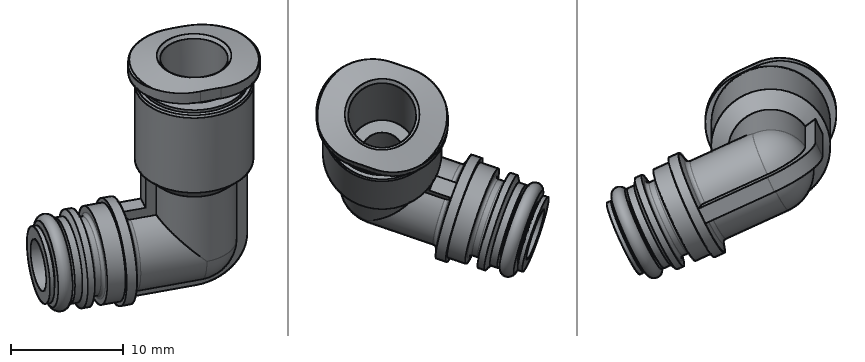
import cadquery as cq
import math


overall_height = 24.68
flange_radius = 9.75 / 2

tube_radius = 3.8
rib_thickness = 1.48
rib_reach = 4.71
rib_top = 8.15

sleeve_radius = 10.55 / 2
sleeve_cone_height = 1.5
sleeve_bottom = 8.65
sleeve_edge = 16.78
sleeve_shoulder = 17.0
sleeve_top = 17.3
sleeve_edge_bevel = 0.12
sleeve_lip_radius = 9.55 / 2

neck_radius = 3.7
neck_flare_radius = 7.8 / 2
neck_flare_height = 0.37
collar_bottom = 18.31
collar_top = overall_height - flange_radius
collar_width = 9.87
collar_length = 11.8
collar_slope = 0.18
rim_bevel = 0.17
mouth_radius = 3.3

flange_back = 6.75
flange_front = 7.72
groove_back = 9.4
groove_front = 10.56
land_front = 11.2
bevel_front = 11.53
seal_groove_back = 12.22
seal_groove_front = 14.0
plug_end = 14.41

root_fillet = 0.42
root_fillet_angle = math.radians(70)
root_cone_height = 0.25
land_radius = 8.93 / 2
groove_radius = 7.15 / 2
groove_fillet = 0.32
step_radius = 7.8 / 2
seal_groove_back_radius = 6.0 / 2
seal_groove_front_radius = 5.65 / 2
tail_radius = 7.0 / 2
seal_width = 1.33
seal_outer_radius = 4.4
seal_side_radius = 7.8 / 2
seal_center = 13.1

socket_bore_radius = 6.0 / 2
socket_floor = sleeve_bottom
passage_radius = 1.85
plug_mouth_radius = 4.7 / 2
plug_taper_length = 6.17


def revolve_about_z(profile):
    return profile.close().revolve(360, (0, 0, 0), (0, 1, 0))


def along_plug(solid):
    """Turn a solid built along +Z so that it points along -Y."""
    return solid.rotate((0, 0, 0), (1, 0, 0), 90)


def make_elbow():
    upright = cq.Workplane("XY").circle(tube_radius).extrude(sleeve_bottom)
    branch = along_plug(cq.Workplane("XY").circle(tube_radius).extrude(flange_front))
    corner = cq.Workplane("XY").sphere(tube_radius)
    return upright.union(branch).union(corner)


def make_rib():
    diagonal = rib_reach * math.sqrt(0.5)
    return (
        cq.Workplane("YZ")
        .moveTo(rib_reach, rib_top)
        .lineTo(rib_reach, 0)
        .threePointArc((diagonal, -diagonal), (0, -rib_reach))
        .lineTo(-flange_front, -rib_reach)
        .lineTo(-flange_front, rib_reach)
        .lineTo(-rib_reach, rib_reach)
        .lineTo(-rib_reach, rib_top)
        .close()
        .extrude(rib_thickness / 2, both=True)
    )


def make_sleeve():
    return revolve_about_z(
        cq.Workplane("XZ")
        .moveTo(0, sleeve_bottom - sleeve_cone_height)
        .lineTo(tube_radius, sleeve_bottom - sleeve_cone_height)
        .lineTo(sleeve_radius, sleeve_bottom)
        .lineTo(sleeve_radius, sleeve_edge)
        .lineTo(sleeve_radius - sleeve_edge_bevel, sleeve_shoulder)
        .lineTo(sleeve_lip_radius, sleeve_shoulder)
        .lineTo(sleeve_lip_radius, sleeve_top)
        .lineTo(neck_radius, sleeve_top)
        .lineTo(neck_radius, collar_bottom - neck_flare_height)
        .lineTo(neck_flare_radius, collar_bottom)
        .lineTo(0, collar_bottom)
    )


def make_collar():
    rim_radius = collar_length / 2
    bevel_radius = rim_radius - rim_bevel
    bevel_top = collar_top - collar_slope * (bevel_radius - mouth_radius)
    oval = (
        cq.Workplane("XY", origin=(0, 0, collar_bottom))
        .slot2D(collar_length, collar_width, 90)
        .extrude(collar_top - collar_bottom)
    )
    coned_disc = revolve_about_z(
        cq.Workplane("XZ")
        .moveTo(0, collar_bottom)
        .lineTo(rim_radius, collar_bottom)
        .lineTo(rim_radius, bevel_top - rim_bevel)
        .lineTo(bevel_radius, bevel_top)
        .lineTo(mouth_radius, collar_top)
        .lineTo(0, collar_top)
    )
    return oval.intersect(coned_disc)


def root_radius(angle):
    """Distance from the plug axis after the root fillet has turned through the angle."""
    return tube_radius + root_fillet * (1 - math.cos(angle))


def make_plug():
    arc_offset = 1 - math.sqrt(0.5)
    cone_start = flange_back - root_cone_height
    root_start = cone_start - root_fillet * math.sin(root_fillet_angle)
    cone_base_radius = root_radius(root_fillet_angle)
    half_angle = root_fillet_angle / 2
    root_middle = (root_radius(half_angle), root_start + root_fillet * math.sin(half_angle))
    cone_rim_radius = cone_base_radius + root_cone_height * math.tan(root_fillet_angle)
    fillet_top = groove_radius + groove_fillet
    fillet_middle = groove_radius + groove_fillet * arc_offset
    body = revolve_about_z(
        cq.Workplane("XZ")
        .moveTo(0, root_start)
        .lineTo(tube_radius, root_start)
        .threePointArc(root_middle, (cone_base_radius, cone_start))
        .lineTo(cone_rim_radius, flange_back)
        .lineTo(flange_radius, flange_back)
        .lineTo(flange_radius, flange_front)
        .lineTo(land_radius, flange_front)
        .lineTo(land_radius, groove_back)
        .lineTo(fillet_top, groove_back)
        .threePointArc(
            (fillet_middle, groove_back + groove_fillet * arc_offset),
            (groove_radius, groove_back + groove_fillet),
        )
        .lineTo(groove_radius, groove_front - groove_fillet)
        .threePointArc(
            (fillet_middle, groove_front - groove_fillet * arc_offset),
            (fillet_top, groove_front),
        )
        .lineTo(land_radius, groove_front)
        .lineTo(land_radius, land_front)
        .lineTo(step_radius, bevel_front)
        .lineTo(step_radius, seal_groove_back)
        .lineTo(seal_groove_back_radius, seal_groove_back)
        .lineTo(seal_groove_front_radius, seal_groove_front)
        .lineTo(tail_radius, seal_groove_front)
        .lineTo(tail_radius, plug_end)
        .lineTo(0, plug_end)
    )
    seal_back = seal_center - seal_width / 2
    seal_front = seal_center + seal_width / 2
    seal = revolve_about_z(
        cq.Workplane("XZ")
        .moveTo(0, seal_back)
        .lineTo(seal_side_radius, seal_back)
        .threePointArc((seal_outer_radius, seal_center), (seal_side_radius, seal_front))
        .lineTo(0, seal_front)
    )
    return along_plug(body.union(seal))


def make_bores():
    mouth_chamfer = mouth_radius - socket_bore_radius
    socket = revolve_about_z(
        cq.Workplane("XZ")
        .lineTo(passage_radius, 0)
        .lineTo(passage_radius, socket_floor)
        .lineTo(socket_bore_radius, socket_floor)
        .lineTo(socket_bore_radius, collar_top - mouth_chamfer)
        .lineTo(mouth_radius, collar_top)
        .lineTo(0, collar_top)
    )
    plug = revolve_about_z(
        cq.Workplane("XZ")
        .lineTo(passage_radius, 0)
        .lineTo(passage_radius, plug_end - plug_taper_length)
        .lineTo(plug_mouth_radius, plug_end)
        .lineTo(0, plug_end)
    )
    corner = cq.Workplane("XY").sphere(passage_radius)
    return socket.union(along_plug(plug)).union(corner)


outer_body = make_elbow()
for feature in (make_rib(), make_sleeve(), make_collar(), make_plug()):
    outer_body = outer_body.union(feature)

result = outer_body.cut(make_bores())